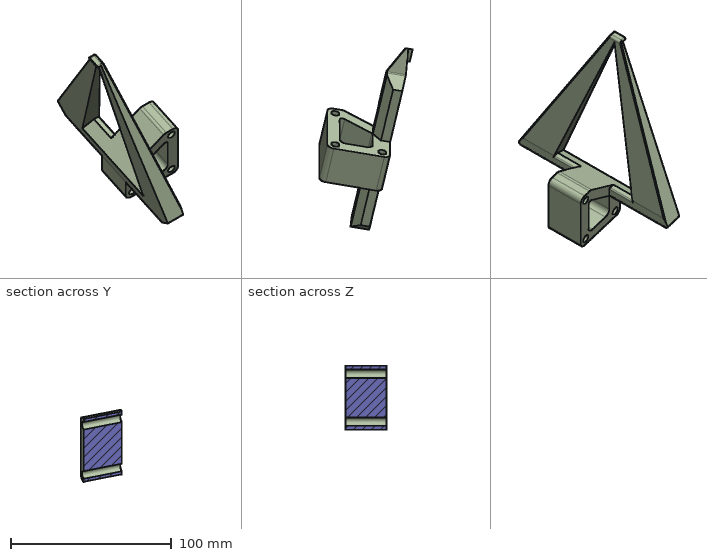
import cadquery as cq
import math

BRACKET_WIDTH = 25.6
BRACKET_DEPTH = 40.0
BRACKET_HEIGHT = 45.3
BRACKET_TOP_FRONT_Y = 29.8
SLOPE = math.tan(math.radians(32.4))
BRACKET_CORNER_RADIUS = 4.0
WALL = 7.9
FRONT_WALL = 11.0
WINDOW_BOTTOM_RADIUS = 4.0
WINDOW_TOP_RADIUS = 2.0
HOLE_DIAMETER = 5.0
HOLE_INSET = 5.0

TOP_Z = 140.8
BOTTOM_Z = 18.0
SIDE_CORNER_Z = 25.6
SIDE_CORNER_HALF_WIDTH = 59.0
BOTTOM_HALF_WIDTH = 51.5
TOP_HALF_WIDTH = 4.2
OUTLINE_RADIUS = 1.0
FRONT_LEAN = 0.108
REAR_UPRIGHT_TOP_Z = 31.7
REAR_TOP_Y = -11.1
REAR_TOP_RADIUS = 2.0
REAR_BOTTOM_CHAMFER_DEPTH = 5.0
REAR_BOTTOM_CHAMFER_HEIGHT = 6.0
LIP_FRONT_Y = -15.9
LIP_THICKNESS = 1.1
REAR_EDGE_CHAMFER_DEPTH = 0.4

OPENING_APEX_Z = 137.8
OPENING_HALF_WIDTH = 32.5
BAR_FLAT_Z = 30.8
BAR_REAR_RADIUS = 0.8
CUT_MARGIN = 7


def front_face_y(z):
    return -FRONT_LEAN * (z - BOTTOM_Z)


def slope_z(y):
    return BRACKET_HEIGHT - SLOPE * (BRACKET_TOP_FRONT_Y - y)


def extrude_across(points, width):
    """Extrude a (Y, Z) polygon symmetrically along X."""
    return cq.Workplane("YZ").polyline(points).close().extrude(width / 2, both=True)


def bracket_body():
    body = extrude_across(
        [
            (0, 0),
            (BRACKET_DEPTH, 0),
            (BRACKET_DEPTH, BRACKET_HEIGHT),
            (BRACKET_TOP_FRONT_Y, BRACKET_HEIGHT),
            (0, slope_z(0)),
        ],
        BRACKET_WIDTH,
    )
    rounded = cq.selectors.BoxSelector((-1.4, -1.4, -1.4), (1.4, BRACKET_DEPTH + 1.4, 1.4))
    rounded += cq.selectors.BoxSelector(
        (-1.4, BRACKET_TOP_FRONT_Y - 1.4, BRACKET_HEIGHT - 1.4),
        (1.4, BRACKET_DEPTH + 1.4, BRACKET_HEIGHT + 1.4),
    )
    return body.edges("|X").edges(rounded).fillet(BRACKET_CORNER_RADIUS)


def bracket_window():
    rear_y = BRACKET_DEPTH - WALL
    slope_drop = WALL * math.hypot(1, SLOPE)
    window = extrude_across(
        [
            (FRONT_WALL, WALL),
            (rear_y, WALL),
            (rear_y, slope_z(rear_y) - slope_drop),
            (FRONT_WALL, slope_z(FRONT_WALL) - slope_drop),
        ],
        BRACKET_WIDTH,
    )
    lower = cq.selectors.BoxSelector((-1.4, 0, 0), (1.4, BRACKET_DEPTH, WALL + 1.4))
    window = window.edges("|X").edges(lower).fillet(WINDOW_BOTTOM_RADIUS)
    upper = cq.selectors.BoxSelector((-1.4, 0, 2 * WALL), (1.4, BRACKET_DEPTH, BRACKET_HEIGHT))
    return window.edges("|X").edges(upper).fillet(WINDOW_TOP_RADIUS)


def bracket_holes():
    rear_y = BRACKET_DEPTH - HOLE_INSET
    top_z = BRACKET_HEIGHT - HOLE_INSET
    centres = [(HOLE_INSET, HOLE_INSET), (rear_y, HOLE_INSET), (rear_y, top_z)]
    holes = cq.Workplane("YZ").pushPoints(centres).circle(HOLE_DIAMETER / 2)
    return holes.extrude(BRACKET_WIDTH / 2, both=True)


def frame_wedge():
    """Side profile of the frame, extruded over its full width."""
    lip_bottom_z = TOP_Z - LIP_THICKNESS
    wedge = extrude_across(
        [
            (front_face_y(BOTTOM_Z), BOTTOM_Z),
            (front_face_y(lip_bottom_z), lip_bottom_z),
            (LIP_FRONT_Y, lip_bottom_z),
            (LIP_FRONT_Y, TOP_Z),
            (REAR_TOP_Y, TOP_Z),
            (FRONT_WALL, REAR_UPRIGHT_TOP_Z),
            (FRONT_WALL, BOTTOM_Z + REAR_BOTTOM_CHAMFER_HEIGHT),
            (FRONT_WALL - REAR_BOTTOM_CHAMFER_DEPTH, BOTTOM_Z),
        ],
        2 * SIDE_CORNER_HALF_WIDTH,
    )
    return wedge.faces(">Z").edges(">Y").fillet(REAR_TOP_RADIUS)


def frame_outline():
    """Front outline of the frame as a prism along Y."""
    outline = (
        cq.Workplane("XZ", origin=(0, FRONT_WALL, 0))
        .polyline(
            [
                (-BOTTOM_HALF_WIDTH, BOTTOM_Z),
                (BOTTOM_HALF_WIDTH, BOTTOM_Z),
                (SIDE_CORNER_HALF_WIDTH, SIDE_CORNER_Z),
                (TOP_HALF_WIDTH, TOP_Z),
                (-TOP_HALF_WIDTH, TOP_Z),
                (-SIDE_CORNER_HALF_WIDTH, SIDE_CORNER_Z),
            ]
        )
        .close()
        .extrude(FRONT_WALL - LIP_FRONT_Y)
    )
    above_bottom = cq.selectors.BoxSelector(
        (-SIDE_CORNER_HALF_WIDTH - 1.4, LIP_FRONT_Y, BOTTOM_Z + 1.4),
        (SIDE_CORNER_HALF_WIDTH + 1.4, FRONT_WALL, TOP_Z + 1.4),
    )
    return outline.edges("|Y").edges(above_bottom).fillet(OUTLINE_RADIUS)


def frame_opening():
    """Triangular opening whose floor is the sloping, flat and rounded top of the bar."""
    floor_front_z = (slope_z(0) + SLOPE * FRONT_LEAN * BOTTOM_Z) / (1 + SLOPE * FRONT_LEAN)
    floor_front_y = front_face_y(floor_front_z)
    ramp_end_y = floor_front_y + (BAR_FLAT_Z - floor_front_z) / SLOPE
    cutter_front_y = LIP_FRONT_Y - CUT_MARGIN
    cutter_rear_y = FRONT_WALL + CUT_MARGIN
    triangle = (
        cq.Workplane("XZ", origin=(0, cutter_rear_y, 0))
        .polyline(
            [
                (-OPENING_HALF_WIDTH, floor_front_z),
                (OPENING_HALF_WIDTH, floor_front_z),
                (0, OPENING_APEX_Z),
            ]
        )
        .close()
        .extrude(cutter_rear_y - cutter_front_y)
    )
    round_start_y = FRONT_WALL - BAR_REAR_RADIUS
    round_end_z = BAR_FLAT_Z - BAR_REAR_RADIUS
    round_middle = (
        round_start_y + BAR_REAR_RADIUS * math.sin(math.pi / 4),
        round_end_z + BAR_REAR_RADIUS * math.cos(math.pi / 4),
    )
    space_above_bar = (
        cq.Workplane("YZ")
        .moveTo(cutter_front_y, floor_front_z)
        .lineTo(floor_front_y, floor_front_z)
        .lineTo(ramp_end_y, BAR_FLAT_Z)
        .lineTo(round_start_y, BAR_FLAT_Z)
        .threePointArc(round_middle, (FRONT_WALL, round_end_z))
        .lineTo(cutter_rear_y, round_end_z)
        .lineTo(cutter_rear_y, TOP_Z)
        .lineTo(cutter_front_y, TOP_Z)
        .close()
        .extrude(OPENING_HALF_WIDTH, both=True)
    )
    return triangle.intersect(space_above_bar)


def rear_edge_chamfer_cutter(side):
    """Block whose base plane bevels the outer rear edge of one leg; side is -1 or 1."""
    leg_rise = TOP_Z - SIDE_CORNER_Z
    leg_run = SIDE_CORNER_HALF_WIDTH - TOP_HALF_WIDTH
    rear_rise = TOP_Z - REAR_UPRIGHT_TOP_Z
    rear_run = FRONT_WALL - REAR_TOP_Y
    side_normal = cq.Vector(side * leg_rise, 0, leg_run).normalized()
    rear_normal = cq.Vector(0, rear_rise, rear_run).normalized()
    bevel_normal = (side_normal + rear_normal).normalized()
    edge_top = cq.Vector(side * TOP_HALF_WIDTH, REAR_TOP_Y, TOP_Z)
    base = cq.Plane(origin=edge_top - bevel_normal * REAR_EDGE_CHAMFER_DEPTH, normal=bevel_normal)
    return cq.Workplane(base).rect(2 * TOP_Z, 2 * TOP_Z).extrude(CUT_MARGIN)


def make_frame():
    frame = frame_wedge().intersect(frame_outline())
    for side in (-1, 1):
        frame = frame.cut(rear_edge_chamfer_cutter(side))
    return frame.cut(frame_opening())


bracket = bracket_body().cut(bracket_window()).cut(bracket_holes())
result = make_frame().union(bracket)